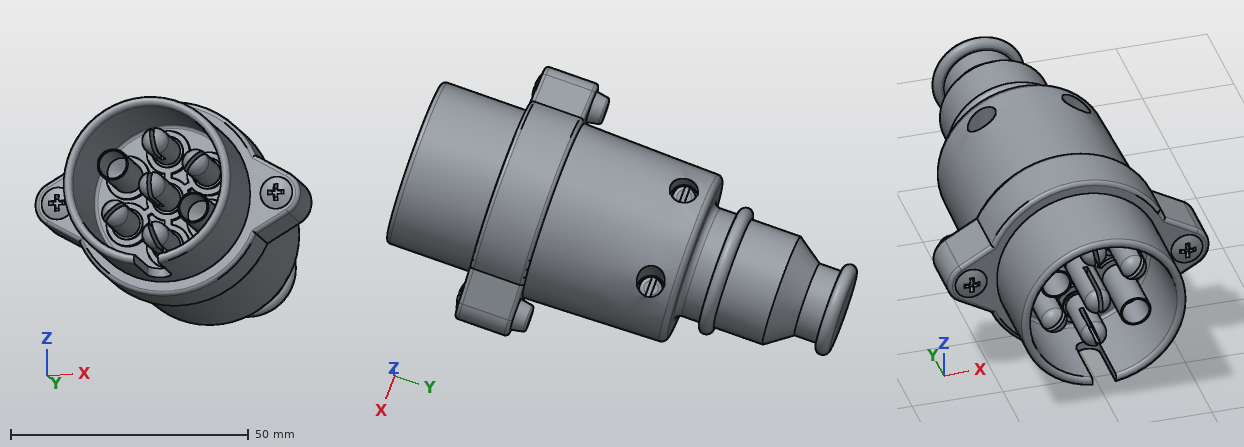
import cadquery as cq
import math


total_length = 95.9
flange_front = 19.2
flange_thickness = 12.0
flange_back = flange_front + flange_thickness
body_back = 62.7
cone_start = 82.2
cone_end = 87.8

shell_radius = 18.0
rim_round = 1.0
bore_radius = shell_radius - 2 * rim_round
bore_floor_fillet = 0.7
bore_depth = 21.1
key_slot_width = 5.2
key_slot_length = 14.6

flange_diameter = 41.7
flange_radius = flange_diameter / 2
ear_spacing = 47.4
ear_radius = 5.0
ear_slope = math.radians(30)
flange_round = 0.9

body_front_radius = 19.5
body_back_radius = 18.6
body_round = 1.4
neck_radius = 12.1
neck_fillet = 1.4
cable_end_radius = 8.1
bead_thickness = 3.1
neck_bead_radius = 14.1
neck_bead_start = 68.2
end_bead_radius = 10.1

pin_circle_radius = 10.1
pin_radius = 2.8
socket_diameter = 6.6
socket_radius = socket_diameter / 2
pin_collar_radius = socket_radius
pin_collar_height = 0.5
center_pin_shoulder = 5.6
outer_pin_shoulder = 8.5
pin_slit_width = 0.9
pin_slit_end = 14.4
socket_bore_radius = 3.0
socket_bore_depth = 7.7
drill_point_angle = math.radians(118)
socket_front = 6.5
boss_radius = 4.6
boss_height = 1.0
web_width = 1.4

screw_head_radius = 3.45
screw_head_height = 0.9
cross_arm_width = 0.9
cross_arm_length = 1.9
cross_floor_length = 1.0
cross_depth = 1.15
screw_tail_height = 3.1
screw_tail_base_radius = 3.45
screw_tail_tip_radius = 2.9
screw_tail_round = 0.6

clamp_screw_spacing = 20.7
clamp_screw_station = 56.6
clamp_hole_radius = 3.0
clamp_hole_floor = 6.7
clamp_head_radius = 2.5
clamp_head_height = 1.9
clamp_head_round = 1.0
clamp_slot_width = 1.1
clamp_slot_depth = 0.8


def axial_plane(x, y, z):
    """Sketch plane at (x, y, z) whose normal points along +Y, local axes +X and -Z."""
    return cq.Workplane(cq.Plane(origin=(x, y, z), xDir=(1, 0, 0), normal=(0, 1, 0)))


def rod(x, z, radius, front, back):
    """Round rod along the plug axis."""
    return axial_plane(x, front, z).circle(radius).extrude(back - front)


def turned(profile):
    """Turn a closed (radius, station) profile around the plug axis."""
    return profile.close().revolve(360, (0, 0, 0), (0, 1, 0))


def make_shell():
    """Pin shroud with a fully rounded rim and a round-ended key slot at the bottom."""
    arc_radius = shell_radius - rim_round
    corner = bore_floor_fillet * (1 - math.sqrt(0.5))
    profile = (
        cq.Workplane("XY")
        .moveTo(bore_radius, rim_round)
        .threePointArc((arc_radius, 0), (shell_radius, rim_round))
        .lineTo(shell_radius, flange_back)
        .lineTo(0, flange_back)
        .lineTo(0, bore_depth)
        .lineTo(bore_radius - bore_floor_fillet, bore_depth)
        .threePointArc(
            (bore_radius - corner, bore_depth - corner), (bore_radius, bore_depth - bore_floor_fillet)
        )
    )
    slot_end_radius = key_slot_width / 2
    straight = key_slot_length - slot_end_radius
    slot = (
        cq.Workplane("XY")
        .moveTo(-slot_end_radius, -rim_round)
        .lineTo(slot_end_radius, -rim_round)
        .lineTo(slot_end_radius, straight)
        .threePointArc((0, key_slot_length), (-slot_end_radius, straight))
        .close()
        .extrude(-flange_radius)
    )
    return turned(profile).cut(slot)


def make_flange():
    """Round flange with an ear on each side and rounded front and back edges."""
    ear_center = ear_spacing / 2
    tangent_x = ear_center + ear_radius * math.sin(ear_slope)
    tangent_z = ear_radius * math.cos(ear_slope)
    apex_z = tangent_z + tangent_x * math.tan(ear_slope)
    ears = (
        axial_plane(0, flange_front, 0)
        .moveTo(tangent_x, tangent_z)
        .lineTo(0, apex_z)
        .lineTo(-tangent_x, tangent_z)
        .threePointArc((-ear_center - ear_radius, 0), (-tangent_x, -tangent_z))
        .lineTo(0, -apex_z)
        .lineTo(tangent_x, -tangent_z)
        .threePointArc((ear_center + ear_radius, 0), (tangent_x, tangent_z))
        .close()
        .extrude(flange_thickness)
    )
    flange = rod(0, 0, flange_radius, flange_front, flange_back).union(ears)
    return flange.faces("<Y or >Y").edges().fillet(flange_round)


def make_body():
    """Grip that tapers slightly toward the cable end."""
    profile = (
        cq.Workplane("XY")
        .moveTo(0, flange_back)
        .lineTo(body_front_radius, flange_back)
        .lineTo(body_back_radius, body_back)
        .lineTo(0, body_back)
    )
    return turned(profile).faces(">Y").edges().fillet(body_round)


def make_sleeve():
    """Stepped cable sleeve that blends into the back of the body."""
    corner = neck_fillet * (1 - math.sqrt(0.5))
    profile = (
        cq.Workplane("XY")
        .moveTo(0, body_back)
        .lineTo(neck_radius + neck_fillet, body_back)
        .threePointArc((neck_radius + corner, body_back + corner), (neck_radius, body_back + neck_fillet))
        .lineTo(neck_radius, cone_start)
        .lineTo(cable_end_radius, cone_end)
        .lineTo(cable_end_radius, total_length)
        .lineTo(0, total_length)
    )
    return turned(profile)


def make_bead(radius, start):
    """Ring with a fully rounded outer edge."""
    half = bead_thickness / 2
    profile = (
        cq.Workplane("XY")
        .moveTo(0, start)
        .lineTo(radius - half, start)
        .threePointArc((radius, start + half), (radius - half, start + bead_thickness))
        .lineTo(0, start + bead_thickness)
    )
    return turned(profile)


def make_pin(x, z, pin_shoulder, slit_angle):
    """Round-nosed pin with a collar at its foot and a slit across its nose."""
    nose = cq.Workplane("XY").sphere(pin_radius).translate((x, pin_shoulder, z))
    pin = rod(x, z, pin_radius, pin_shoulder, bore_depth).union(nose)
    slit_start = pin_shoulder - pin_radius
    slit = (
        cq.Workplane("XY")
        .box(3 * pin_radius, pin_slit_end - slit_start, pin_slit_width)
        .rotate((0, 0, 0), (0, 1, 0), -slit_angle)
        .translate((x, (pin_slit_end + slit_start) / 2, z))
    )
    collar_front = bore_depth - boss_height - pin_collar_height
    return pin.cut(slit).union(rod(x, z, pin_collar_radius, collar_front, bore_depth))


def make_socket(x, z):
    """Round tube with a blind drilled hole."""
    hole_end = socket_front + socket_bore_depth
    tip_depth = socket_bore_radius / math.tan(drill_point_angle / 2)
    tip = cq.Solid.makeCone(
        socket_bore_radius, 0, tip_depth, cq.Vector(x, hole_end, z), cq.Vector(0, 1, 0)
    )
    hole = rod(x, z, socket_bore_radius, socket_front, hole_end).union(cq.Workplane(tip))
    return rod(x, z, socket_radius, socket_front, bore_depth).cut(hole)


def make_contacts():
    """Centre pin and six contacts around it, on bosses joined to the middle by webs."""
    boss_front = bore_depth - boss_height
    outer_contacts = [(30, 45), (90, 98), (150, None), (210, 40), (270, 110), (330, None)]
    contacts = make_pin(0, 0, center_pin_shoulder, 90).union(rod(0, 0, boss_radius, boss_front, bore_depth))
    for angle, slit_angle in outer_contacts:
        x = pin_circle_radius * math.cos(math.radians(angle))
        z = pin_circle_radius * math.sin(math.radians(angle))
        web = (
            cq.Workplane("XY")
            .box(pin_circle_radius, boss_height, web_width)
            .translate((pin_circle_radius / 2, boss_front + boss_height / 2, 0))
            .rotate((0, 0, 0), (0, 1, 0), -angle)
        )
        if slit_angle is None:
            contact = make_socket(x, z)
        else:
            contact = make_pin(x, z, outer_pin_shoulder, slit_angle)
        contacts = contacts.union(rod(x, z, boss_radius, boss_front, bore_depth)).union(web).union(contact)
    return contacts


def make_ear_screw(x):
    """Domed cross-recess head at the front of an ear and tapered tail at its back."""
    dome_radius = (screw_head_radius**2 + screw_head_height**2) / (2 * screw_head_height)
    head_front = flange_front - screw_head_height
    dome = cq.Workplane("XY").sphere(dome_radius).translate((x, head_front + dome_radius, 0))
    head = rod(x, 0, screw_head_radius, head_front, flange_front).intersect(dome)
    tail = (
        axial_plane(x, flange_back, 0)
        .circle(screw_tail_base_radius)
        .workplane(offset=screw_tail_height)
        .circle(screw_tail_tip_radius)
        .loft()
        .faces(">Y")
        .edges()
        .fillet(screw_tail_round)
    )
    return head.union(tail)


def make_cross_recess(x):
    """Cross-shaped driver recess whose arms slope in toward the floor."""
    recess_front = flange_front - screw_head_height
    arm = (
        cq.Workplane("XY")
        .moveTo(-cross_arm_length, recess_front)
        .lineTo(cross_arm_length, recess_front)
        .lineTo(cross_floor_length, recess_front + cross_depth)
        .lineTo(-cross_floor_length, recess_front + cross_depth)
        .close()
        .extrude(cross_arm_width / 2, both=True)
    )
    return arm.union(arm.rotate((0, 0, 0), (0, 1, 0), 90)).translate((x, 0, 0))


def make_clamp_hole(x):
    """Blind hole from the top of the body."""
    height = body_front_radius - clamp_hole_floor
    hole = cq.Workplane("XY").circle(clamp_hole_radius).extrude(height)
    return hole.translate((x, clamp_screw_station, clamp_hole_floor))


def make_clamp_screw(x):
    """Slotted screw head standing on the floor of its hole."""
    head = (
        cq.Workplane("XY")
        .circle(clamp_head_radius)
        .extrude(clamp_head_height)
        .faces(">Z")
        .edges()
        .fillet(clamp_head_round)
    )
    slot = (
        cq.Workplane("XY")
        .box(2 * clamp_head_radius, clamp_slot_width, clamp_slot_depth)
        .translate((0, 0, clamp_head_height - clamp_slot_depth / 2))
    )
    return head.cut(slot).translate((x, clamp_screw_station, clamp_hole_floor))


bore = rod(0, 0, shell_radius, 0, bore_depth)
result = (
    make_shell()
    .union(make_flange().cut(bore))
    .union(make_body())
    .union(make_sleeve())
    .union(make_bead(neck_bead_radius, neck_bead_start))
    .union(make_bead(end_bead_radius, total_length - bead_thickness))
    .union(make_contacts())
)
for side in (-1, 1):
    ear_x = side * ear_spacing / 2
    clamp_x = side * clamp_screw_spacing / 2
    result = result.union(make_ear_screw(ear_x)).cut(make_cross_recess(ear_x))
    result = result.cut(make_clamp_hole(clamp_x)).union(make_clamp_screw(clamp_x))